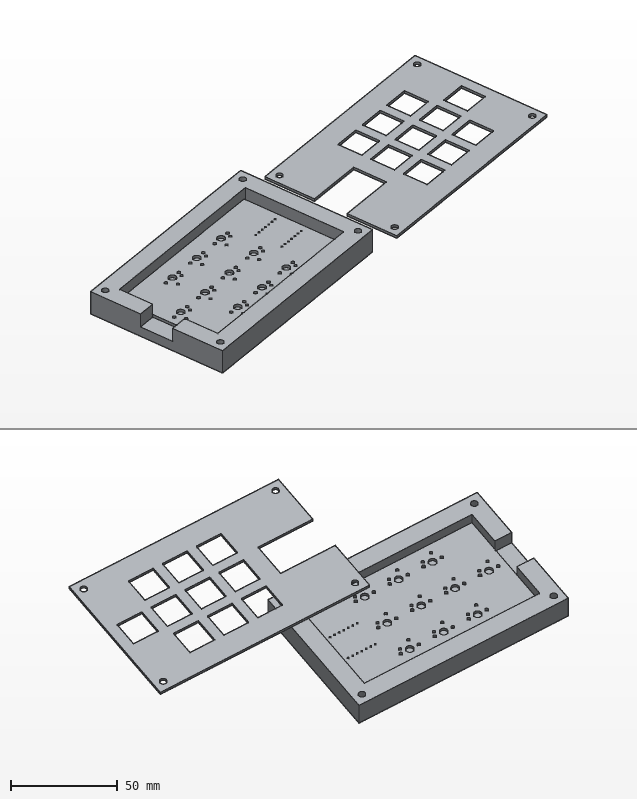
import cadquery as cq

assembly_width = 113.5
assembly_length = 204.6
assembly_height = 44.2
case_width = 77.0
case_length = 117.5
plate_shift_x = assembly_width - case_width
plate_shift_y = assembly_length - case_length

screw_hole_diameter = 3.5
screw_inset = 5.0

key_pitch = 19.0
key_columns = 3
full_key_rows = 3

housing_height = 13.0
floor_thickness = 5.5
pocket_width = 57.3
pocket_length = 98.5
cable_notch_width = 18.6

board_thickness = 1.6
board_end_gap = 1.0
board_length = pocket_length - board_end_gap
board_single_key_inset = 9.5

switch_grid = 1.27
switch_centre_diameter = 4.0
switch_post_diameter = 1.7
switch_pin_diameter = 1.5
switch_post_offset = 4 * switch_grid
switch_pin_offsets = [(2 * switch_grid, 3 * switch_grid), (4 * switch_grid, -2 * switch_grid)]

header_pin_diameter = 0.88
header_pin_count = 7
header_pin_pitch = 2 * switch_grid
header_row_spacing = 12 * switch_grid
header_first_pin_inset = 3.9

plate_thickness = 1.5
key_opening = 14.0
plate_single_key_inset = 12.9
controller_slot_width = 19.0
controller_slot_length = 30.7


def key_centres(single_key_y, row_direction):
    """One key alone on the middle column, then full rows stepping away from it along Y."""
    centres = [(0, single_key_y)]
    for row in range(1, full_key_rows + 1):
        for column in range(key_columns):
            x = (column - (key_columns - 1) / 2) * key_pitch
            centres.append((x, single_key_y + row_direction * row * key_pitch))
    return centres


def screw_cutters(height):
    """Four vertical cylinders near the corners of the case outline."""
    return (
        cq.Workplane("XY")
        .rect(case_width - 2 * screw_inset, case_length - 2 * screw_inset, forConstruction=True)
        .vertices()
        .circle(screw_hole_diameter / 2)
        .extrude(height)
    )


def make_housing():
    """Tray with a deep pocket and a cable notch through the middle of its -Y wall."""
    wall_height = housing_height - floor_thickness
    end_wall = (case_length - pocket_length) / 2
    body = cq.Workplane("XY").box(case_width, case_length, housing_height, centered=(True, True, False))
    pocket = (
        cq.Workplane("XY")
        .workplane(offset=floor_thickness)
        .rect(pocket_width, pocket_length)
        .extrude(wall_height)
    )
    cable_notch = (
        cq.Workplane("XY")
        .workplane(offset=floor_thickness)
        .center(0, -(case_length - end_wall) / 2)
        .rect(cable_notch_width, end_wall)
        .extrude(wall_height)
    )
    return body.cut(pocket).cut(cable_notch).cut(screw_cutters(housing_height))


def drill(points, diameter, depth):
    """Round vertical cutters rising from Z = 0 at the given points."""
    return cq.Workplane("XY").pushPoints(points).circle(diameter / 2).extrude(depth)


def make_board():
    """Drilled rectangular board lying on the pocket floor."""
    front_edge = -pocket_length / 2
    back_edge = front_edge + board_length
    board = (
        cq.Workplane("XY")
        .box(pocket_width, board_length, board_thickness, centered=(True, False, False))
        .translate((0, front_edge, 0))
    )
    centres = key_centres(front_edge + board_single_key_inset, 1)
    posts = [(x, y + side * switch_post_offset) for x, y in centres for side in (-1, 1)]
    pins = [(x + dx, y + dy) for x, y in centres for dx, dy in switch_pin_offsets]
    header_pins = [
        (side * header_row_spacing / 2, back_edge - header_first_pin_inset - index * header_pin_pitch)
        for side in (-1, 1)
        for index in range(header_pin_count)
    ]
    board = board.cut(drill(centres, switch_centre_diameter, board_thickness))
    board = board.cut(drill(posts, switch_post_diameter, board_thickness))
    board = board.cut(drill(pins, switch_pin_diameter, board_thickness))
    board = board.cut(drill(header_pins, header_pin_diameter, board_thickness))
    return board.translate((0, 0, floor_thickness))


def make_plate():
    """Flat cover with square key openings and a controller slot open to its -Y edge."""
    plate = cq.Workplane("XY").box(case_width, case_length, plate_thickness, centered=(True, True, False))
    key_openings = (
        cq.Workplane("XY")
        .pushPoints(key_centres(case_length / 2 - plate_single_key_inset, -1))
        .rect(key_opening, key_opening)
        .extrude(plate_thickness)
    )
    controller_slot = (
        cq.Workplane("XY")
        .center(0, (controller_slot_length - case_length) / 2)
        .rect(controller_slot_width, controller_slot_length)
        .extrude(plate_thickness)
    )
    plate = plate.cut(key_openings).cut(controller_slot).cut(screw_cutters(plate_thickness))
    return plate.translate((plate_shift_x, plate_shift_y, assembly_height - plate_thickness))


housing = make_housing()
board = make_board()
plate = make_plate()

result = cq.Compound.makeCompound([housing.val(), board.val(), plate.val()])